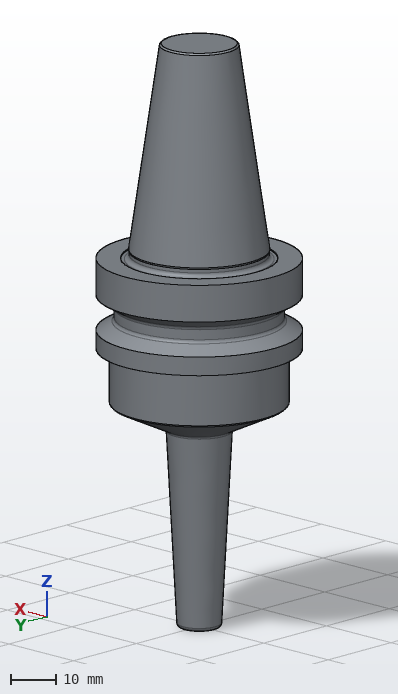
import cadquery as cq
import math

total_height = 134.4
taper_bottom_z = 87.0
flange_top_z = 85.0
groove_top_z = 76.5
groove_bottom_z = 68.4
flange_bottom_z = 64.1
body_bottom_z = 51.7
stem_top_z = 45.5

taper_top_radius = 8.9
taper_bottom_radius = 15.7
relief_neck_radius = 15.6
recess_radius = 17.5
flange_radius = 23.0
groove_radius = 19.0
body_radius = 20.0
stem_top_radius = 7.4
stem_tip_radius = 5.0

taper_top_chamfer = 0.4
relief_step_height = 0.4
recess_depth = 0.3
recess_floor_fillet = 1.1
groove_wall_angle = 30.0
groove_fillet = 1.0
body_root_fillet = 0.4
body_edge_chamfer = 0.4
stem_root_fillet = 0.7
tip_fillet = 1.0

groove_wall_height = (flange_radius - groove_radius) * math.tan(math.radians(groove_wall_angle))
recess_floor_z = flange_top_z - recess_depth


def revolve_profile(points):
    """Revolve a closed (radius, height) outline about the Z axis."""
    return cq.Workplane("XZ").polyline(points).close().revolve(360, (0, 0), (0, 1))


def fillet_circles(solid, radius, height, fillet):
    """Round the circular edge of the given radius that lies at the given height."""
    margin = 0.01
    reach = radius + margin
    inner = radius - margin
    chosen = cq.selectors.BoxSelector(
        (-reach, -reach, height - margin), (reach, reach, height + margin), boundingbox=True
    ) - cq.selectors.BoxSelector(
        (-inner, -inner, height - margin), (inner, inner, height + margin), boundingbox=True
    )
    return solid.edges("%CIRCLE").edges(chosen).fillet(fillet)


holder = revolve_profile([
    (0, 0),
    (stem_tip_radius, 0),
    (stem_top_radius, stem_top_z),
    (body_radius - body_edge_chamfer, body_bottom_z - body_edge_chamfer),
    (body_radius, body_bottom_z),
    (body_radius, flange_bottom_z),
    (flange_radius, flange_bottom_z),
    (flange_radius, groove_bottom_z),
    (groove_radius, groove_bottom_z + groove_wall_height),
    (groove_radius, groove_top_z - groove_wall_height),
    (flange_radius, groove_top_z),
    (flange_radius, flange_top_z),
    (recess_radius, flange_top_z),
    (recess_radius, recess_floor_z),
    (relief_neck_radius, recess_floor_z),
    (relief_neck_radius, taper_bottom_z - relief_step_height),
    (taper_bottom_radius, taper_bottom_z),
    (taper_top_radius, total_height - taper_top_chamfer),
    (taper_top_radius - taper_top_chamfer, total_height),
    (0, total_height),
])

rounded_corners = [
    (stem_tip_radius, 0, tip_fillet),
    (stem_top_radius, stem_top_z, stem_root_fillet),
    (body_radius, flange_bottom_z, body_root_fillet),
    (groove_radius, groove_bottom_z + groove_wall_height, groove_fillet),
    (groove_radius, groove_top_z - groove_wall_height, groove_fillet),
    (relief_neck_radius, recess_floor_z, recess_floor_fillet),
]
for edge_radius, edge_z, fillet_radius in rounded_corners:
    holder = fillet_circles(holder, edge_radius, edge_z, fillet_radius)

result = holder